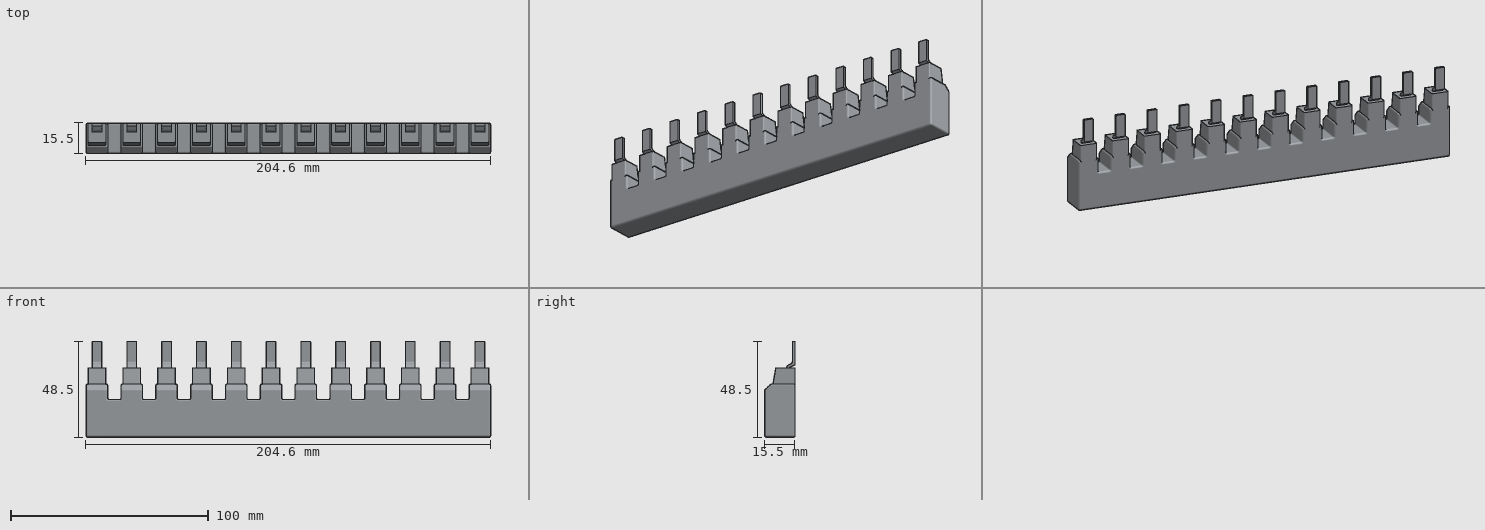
import cadquery as cq
import math

pole_count = 12
pole_pitch = 17.6
tower_width = 11.0
bar_length = (pole_count - 1) * pole_pitch + tower_width
pole_centers = [(i - (pole_count - 1) / 2) * pole_pitch for i in range(pole_count)]
gap_centers = [x + pole_pitch / 2 for x in pole_centers[:-1]]

bar_depth = 15.5
shoulder_height = 27.0
slope_foot_height = 23.95
shoulder_depth = 12.2
gap_floor_height = 19.2
edge_radius = 1.0
gap_corner_radius = 0.5

collar_width = tower_width - 2 * edge_radius
collar_top = 35.1
collar_foot_depth = 11.3
collar_top_depth = 9.9
collar_edge_radius = 0.6
collar_overlap = 2 * edge_radius

pin_top = 48.5
pin_width = 5.0
pin_thickness = 1.5
pin_tip_radius = 0.5
heel_height = 36.75
crank_drop = math.radians(28)
crank_inner_radius = 1.0
pin_front_depth = 4.5
pin_embedment = 2.0
pin_root_height = collar_top - pin_embedment
root_outer_radius = 2.3


def side_point(depth, height):
    """Point on the YZ plane given by its depth in front of the back face."""
    return (-depth, height)


def make_housing():
    profile = [
        side_point(0, 0),
        side_point(0, shoulder_height),
        side_point(shoulder_depth, shoulder_height),
        side_point(bar_depth, slope_foot_height),
        side_point(bar_depth, 0),
    ]
    housing = cq.Workplane("YZ").polyline(profile).close().extrude(bar_length / 2, both=True)
    gap_width = pole_pitch - tower_width
    gap_depth = shoulder_height - gap_floor_height
    gaps = (
        cq.Workplane("XY", origin=(0, -bar_depth / 2, gap_floor_height))
        .pushPoints([(x, 0) for x in gap_centers])
        .box(gap_width, 2 * bar_depth, 2 * gap_depth, centered=(True, True, False))
        .edges("|Y and <Z")
        .fillet(gap_corner_radius)
    )
    comb = housing.cut(gaps)
    blend_zone = cq.selectors.BoxSelector(
        (-bar_length, -2 * bar_depth, gap_floor_height - gap_corner_radius),
        (bar_length, bar_depth, gap_floor_height + 2 * gap_corner_radius),
    )
    blend_lines = cq.selectors.StringSyntaxSelector("|Y") & blend_zone
    return comb.edges(-blend_lines).fillet(edge_radius)


def make_collar():
    front_taper = (collar_foot_depth - collar_top_depth) / (collar_top - shoulder_height)
    base_height = shoulder_height - collar_overlap
    base_depth = collar_foot_depth + front_taper * collar_overlap
    profile = [
        side_point(0, base_height),
        side_point(0, collar_top),
        side_point(collar_top_depth, collar_top),
        side_point(base_depth, base_height),
    ]
    collar = cq.Workplane("YZ").polyline(profile).close().extrude(collar_width / 2, both=True)
    return collar.edges("not(#Z or |X)").fillet(collar_edge_radius)


def arc_point(center, radius, angle):
    """Point of a circle on the YZ plane, with the angle measured from the frontward direction."""
    depth, height = center
    return side_point(depth + radius * math.cos(angle), height + radius * math.sin(angle))


def make_pin():
    slope = math.tan(crank_drop)
    turn = math.pi / 2 - crank_drop
    strip_upper = heel_height + pin_thickness / math.cos(crank_drop)

    crank_center = (
        pin_thickness + crank_inner_radius,
        strip_upper - slope * pin_thickness + crank_inner_radius * math.tan(turn / 2),
    )

    root_inner_radius = root_outer_radius - pin_thickness
    root_center_depth = pin_front_depth - root_outer_radius
    root_center = (
        root_center_depth,
        strip_upper - slope * root_center_depth - root_outer_radius / math.cos(crank_drop),
    )

    profile = (
        cq.Workplane("YZ")
        .moveTo(*side_point(0, heel_height))
        .lineTo(*side_point(0, pin_top))
        .lineTo(*side_point(pin_thickness, pin_top))
        .lineTo(*arc_point(crank_center, crank_inner_radius, math.pi))
        .threePointArc(
            arc_point(crank_center, crank_inner_radius, math.pi + turn / 2),
            arc_point(crank_center, crank_inner_radius, math.pi + turn),
        )
        .lineTo(*arc_point(root_center, root_outer_radius, turn))
        .threePointArc(
            arc_point(root_center, root_outer_radius, turn / 2),
            arc_point(root_center, root_outer_radius, 0),
        )
        .lineTo(*side_point(pin_front_depth, pin_root_height))
        .lineTo(*side_point(pin_front_depth - pin_thickness, pin_root_height))
        .lineTo(*arc_point(root_center, root_inner_radius, 0))
        .threePointArc(
            arc_point(root_center, root_inner_radius, turn / 2),
            arc_point(root_center, root_inner_radius, turn),
        )
        .close()
    )
    pin = profile.extrude(pin_width / 2, both=True)
    return pin.faces(">Z").edges("|Y").fillet(pin_tip_radius)


pole = make_collar().union(make_pin())
result = make_housing()
for pole_x in pole_centers:
    result = result.union(pole.translate((pole_x, 0, 0)))